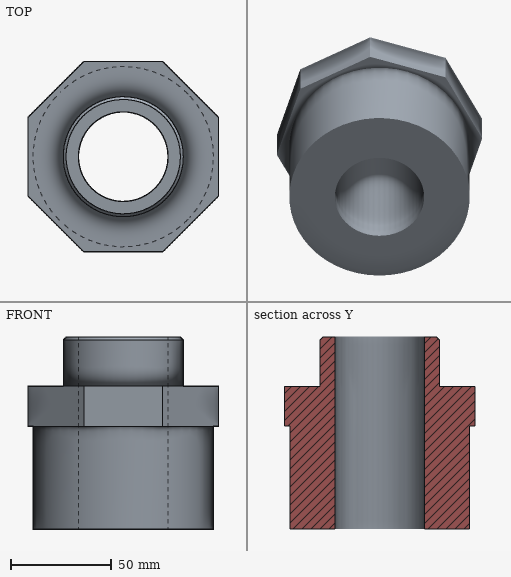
import cadquery as cq
import math

total_height = 96.0
across_flats = 95.0

sleeve_diameter = 90.0
sleeve_height = 51.5
collar_height = 20.0
spigot_diameter = 59.9
spigot_height = total_height - sleeve_height - collar_height
spigot_chamfer = 1.4
bore_diameter = 44.5


def make_sleeve():
    return cq.Workplane("XY").circle(sleeve_diameter / 2).extrude(sleeve_height)


def make_collar():
    """Regular octagon with flats facing X and Y."""
    sides = 8
    half_side_angle = 180 / sides
    across_corners = across_flats / math.cos(math.radians(half_side_angle))
    return (
        cq.Workplane("XY")
        .polygon(sides, across_corners)
        .extrude(collar_height)
        .rotate((0, 0, 0), (0, 0, 1), half_side_angle)
        .translate((0, 0, sleeve_height))
    )


def make_spigot():
    """Round spigot with a chamfered outer rim."""
    return (
        cq.Workplane("XY")
        .workplane(offset=sleeve_height + collar_height)
        .circle(spigot_diameter / 2)
        .extrude(spigot_height)
        .faces(">Z")
        .edges()
        .chamfer(spigot_chamfer)
    )


bore = cq.Workplane("XY").circle(bore_diameter / 2).extrude(total_height)

result = make_sleeve().union(make_collar()).union(make_spigot()).cut(bore)